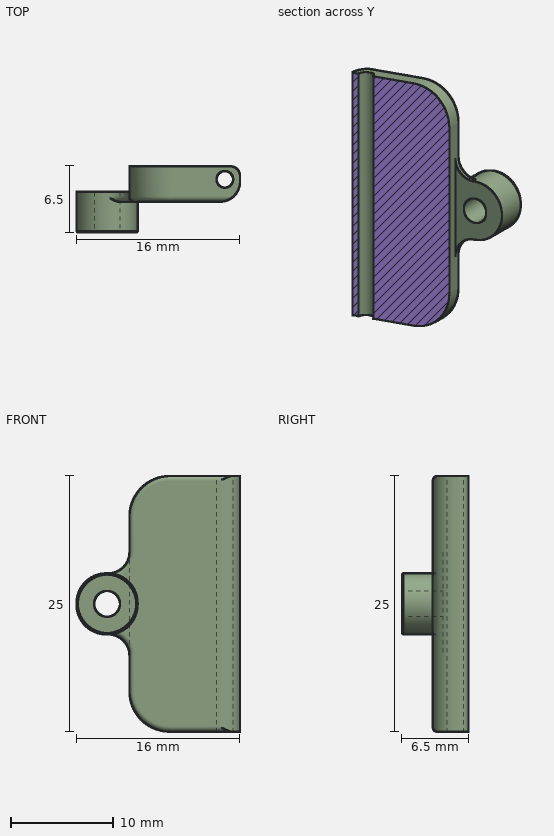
import cadquery as cq

plate_height = 25.0
plate_thickness = 3.5
plate_left = 2.17
plate_right = 13.0
plate_corner_radius = 4.0
front_edge_radius = 0.5

hinge_front_radius = 2.0
hinge_back_radius = 1.0
pin_hole_diameter = 1.6
pin_from_right = 1.5
pin_from_back = 1.3

boss_radius = 3.0
boss_length = 4.0
boss_back_depth = 2.5
boss_chamfer = 0.15
boss_bore_diameter = 2.5
web_fillet_radius = 2.0

plate_width = plate_right - plate_left
half_height = plate_height / 2


def plate_blank():
    """Full-thickness plate with its two left corners rounded."""
    return (
        cq.Workplane("XZ")
        .center(plate_left + plate_width / 2, 0)
        .rect(plate_width, plate_height)
        .extrude(plate_thickness)
        .edges("|Y and <X")
        .fillet(plate_corner_radius)
    )


def boss_back_plane():
    """Workplane facing -Y on the shared back of the boss and web."""
    return cq.Workplane("XZ", origin=(0, -boss_back_depth, 0))


def web():
    """Thin web from the boss axis into the plate, flaring with concave arcs."""
    flare_start = plate_left - web_fillet_radius
    flare_end = boss_radius + web_fillet_radius
    web_right = plate_left + web_fillet_radius
    return (
        boss_back_plane()
        .moveTo(0, -boss_radius)
        .lineTo(flare_start, -boss_radius)
        .tangentArcPoint((plate_left, -flare_end), relative=False)
        .lineTo(web_right, -flare_end)
        .lineTo(web_right, flare_end)
        .lineTo(plate_left, flare_end)
        .radiusArc((flare_start, boss_radius), web_fillet_radius)
        .lineTo(0, boss_radius)
        .close()
        .extrude(plate_thickness - boss_back_depth)
    )


def round_front_edges(body):
    """Round the front outline, except the web end inside the boss and the hinge side."""
    outline = body.faces("<Y").edges()
    return outline.edges("not(<X or >X)").fillet(front_edge_radius)


def hinge_envelope():
    """Plate section along Z, with the right side rounded front and back."""
    envelope = (
        cq.Workplane("XY", origin=(0, 0, -half_height))
        .rect(plate_right, -plate_thickness, centered=False)
        .extrude(plate_height)
    )
    envelope = envelope.edges("|Z and >X and <Y").fillet(hinge_front_radius)
    return envelope.edges("|Z and >Y").edges(">X").fillet(hinge_back_radius)


def boss():
    """Round boss standing forward of the plate, chamfered at its front rim."""
    return (
        boss_back_plane()
        .circle(boss_radius)
        .extrude(boss_length)
        .faces("<Y")
        .chamfer(boss_chamfer)
    )


def boss_bore():
    """Bore through the boss along Y."""
    return (
        boss_back_plane()
        .circle(boss_bore_diameter / 2)
        .extrude(boss_length)
    )


def pin_hole():
    """Pin hole through the full height of the hinge edge."""
    return (
        cq.Workplane("XY", origin=(plate_right - pin_from_right, -pin_from_back, -half_height))
        .circle(pin_hole_diameter / 2)
        .extrude(plate_height)
    )


plate = round_front_edges(plate_blank().union(web()))
plate = plate.intersect(hinge_envelope())
result = plate.union(boss()).cut(boss_bore()).cut(pin_hole())